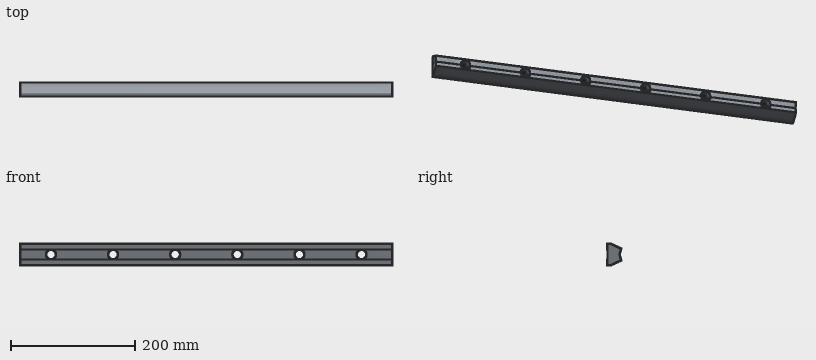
import cadquery as cq
import math

length = 599.5
depth = 22.88
width = 35.0

flank_start = 5.85
flank_angle = 25.2
shoulder_radius = 4.5
groove_depth = 2.88
recess_width = 15.5
recess_depth = 0.5

hole_diameter = 15.5
hole_pitch = 100.0
hole_count = 6

half_width = width / 2
flank_tilt = math.radians(flank_angle)
ridge_z = half_width - (depth - flank_start) * math.tan(flank_tilt)


def shoulder_points():
    """Start, middle and end of the arc that is tangent to the upper side and flank."""
    center_y = flank_start - shoulder_radius * math.tan(flank_tilt / 2)
    center_z = half_width - shoulder_radius
    turns = (0, flank_tilt / 2, flank_tilt)
    return [
        (center_y + shoulder_radius * math.sin(turn), center_z + shoulder_radius * math.cos(turn))
        for turn in turns
    ]


def mirrored(point):
    """The matching point on the lower half of the cross-section."""
    y, z = point
    return (y, -z)


def make_bar():
    """Extrude the symmetrical cross-section along X, centred on the origin."""
    half_recess = recess_width / 2
    side_end, shoulder_middle, flank_begin = shoulder_points()
    profile = (
        cq.Workplane("YZ")
        .moveTo(recess_depth, -half_recess)
        .lineTo(recess_depth, half_recess)
        .lineTo(0, half_recess)
        .lineTo(0, half_width)
        .lineTo(*side_end)
        .threePointArc(shoulder_middle, flank_begin)
        .lineTo(depth, ridge_z)
        .lineTo(depth - groove_depth, 0)
        .lineTo(depth, -ridge_z)
        .lineTo(*mirrored(flank_begin))
        .threePointArc(mirrored(shoulder_middle), mirrored(side_end))
        .lineTo(0, -half_width)
        .lineTo(0, -half_recess)
        .close()
    )
    return profile.extrude(length / 2, both=True)


def make_holes():
    """Row of through-hole cutters, evenly spaced along the middle of the bar."""
    first_x = -hole_pitch * (hole_count - 1) / 2
    centers = [(first_x + i * hole_pitch, 0) for i in range(hole_count)]
    return cq.Workplane("XZ").pushPoints(centers).circle(hole_diameter / 2).extrude(-depth)


result = make_bar().cut(make_holes())